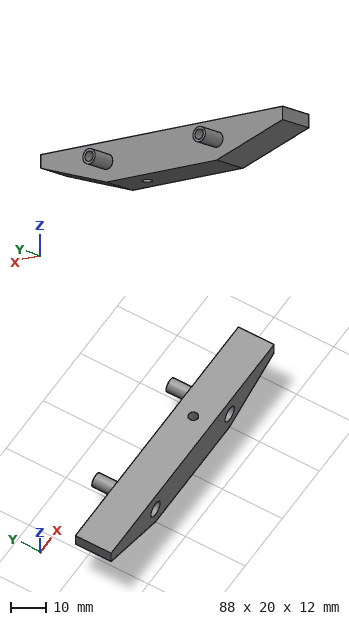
import cadquery as cq

length = 88.0
depth = 12.0
height = 12.0
end_height = 4.0
pin_spacing = 40.0
flat_length = pin_spacing

pin_length = 8.0
pin_diameter = 4.5
bore_diameter = 3.0
counterbore_diameter = 5.0
counterbore_depth = 6.0

cross_hole_diameter = 3.0
cross_hole_x = 10.0


def cylinder_along_y(x, start_y, cylinder_length, diameter):
    """Cylinder at mid-height of the bar, extending toward +Y."""
    start = cq.Vector(x, start_y, height / 2)
    direction = cq.Vector(0, 1, 0)
    return cq.Workplane(cq.Solid.makeCylinder(diameter / 2, cylinder_length, start, direction))


def make_bar():
    outline = [
        (-length / 2, height),
        (length / 2, height),
        (length / 2, height - end_height),
        (flat_length / 2, 0),
        (-flat_length / 2, 0),
        (-length / 2, height - end_height),
    ]
    return cq.Workplane("XZ").polyline(outline).close().extrude(-depth)


def make_cross_hole():
    return (
        cq.Workplane("XY")
        .center(cross_hole_x, depth / 2)
        .circle(cross_hole_diameter / 2)
        .extrude(height)
    )


result = make_bar().cut(make_cross_hole())
for pin_x in (-pin_spacing / 2, pin_spacing / 2):
    result = result.union(cylinder_along_y(pin_x, depth, pin_length, pin_diameter))
    result = result.cut(cylinder_along_y(pin_x, 0, depth + pin_length, bore_diameter))
    result = result.cut(cylinder_along_y(pin_x, 0, counterbore_depth, counterbore_diameter))